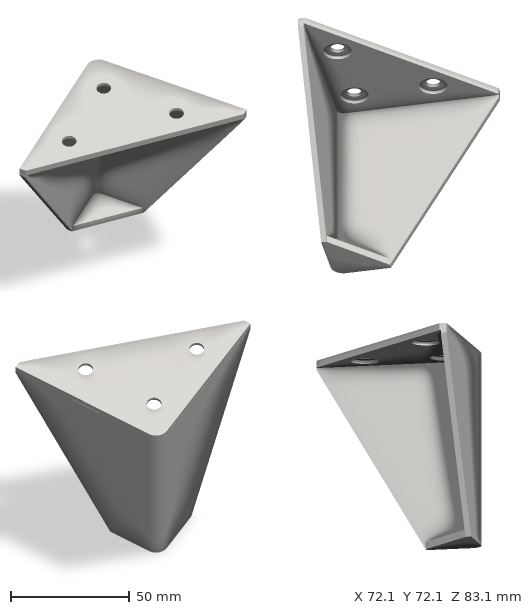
import cadquery as cq

leg_length = 72.1
height = 83.1

plate_thickness = 3.0
tip_width = 3.0
hole_diameter = 6.2
counterbore_diameter = 12.0
counterbore_depth = 1.5
hole_pitch = 34.05
hole_from_left = 12.2
hole_from_back = 14.7

wall_thickness = 2.5
inner_bend_radius = 3.0
outer_bend_radius = wall_thickness + inner_bend_radius
plate_gap = 0.05
wall_height = height - plate_thickness - plate_gap
wall_end_height = 1.0
wall_foot_length = 24.9

gusset_thickness = 3.15
gusset_leg = 22.2



def make_top_plate():
    """Triangular plate with blunt tips, a rounded corner and three holes counterbored from below."""
    outline = [
        (0, 0),
        (leg_length, 0),
        (leg_length, -tip_width),
        (tip_width, -leg_length),
        (0, -leg_length),
    ]
    hole_centers = [
        (hole_from_left, -hole_from_back),
        (hole_from_left + hole_pitch, -hole_from_back),
        (hole_from_left, -hole_from_back - hole_pitch),
    ]
    bottom = cq.Workplane("XY", origin=(0, 0, height - plate_thickness))
    plate = (
        bottom.polyline(outline).close()
        .extrude(plate_thickness)
        .edges("|Z and <X and >Y").fillet(outer_bend_radius)
    )
    hole_spots = bottom.pushPoints(hole_centers)
    bores = hole_spots.circle(hole_diameter / 2).extrude(plate_thickness)
    counterbores = hole_spots.circle(counterbore_diameter / 2).extrude(counterbore_depth)
    return plate.cut(bores).cut(counterbores)


def bend_block(offset, radius):
    """Square block set in from both outer faces, rounded at the bend."""
    size = leg_length - offset
    return (
        cq.Workplane("XY")
        .center(offset, -offset)
        .rect(size, -size, centered=False)
        .extrude(wall_height)
        .edges("|Z and <X and >Y").fillet(radius)
    )


def make_leg_prism():
    """Tapered side of the leg along X, extruded across the full length of the other leg."""
    outline = [
        (0, 0),
        (wall_foot_length, 0),
        (leg_length, wall_height - wall_end_height),
        (leg_length, wall_height),
        (0, wall_height),
    ]
    return cq.Workplane("XZ").polyline(outline).close().extrude(leg_length)


def make_side_wall():
    """Sheet bent to a right angle, with both legs tapering towards the foot."""
    bent_sheet = bend_block(0, outer_bend_radius).cut(bend_block(wall_thickness, inner_bend_radius))
    back_taper = make_leg_prism()
    left_taper = make_leg_prism().mirror("XZ").rotate((0, 0, 0), (0, 0, 1), -90)
    return bent_sheet.intersect(back_taper).intersect(left_taper)


def make_bottom_gusset():
    """Triangular gusset that closes the foot of the bend."""
    outline = [(0, 0), (gusset_leg, 0), (0, -gusset_leg)]
    return (
        cq.Workplane("XY", origin=(wall_thickness, -wall_thickness, 0))
        .polyline(outline).close()
        .extrude(gusset_thickness)
        .edges("|Z and <X and >Y").fillet(inner_bend_radius)
    )


top_plate = make_top_plate()
side_wall = make_side_wall()
bottom_gusset = make_bottom_gusset()

result = cq.Compound.makeCompound([top_plate.val(), side_wall.val(), bottom_gusset.val()])